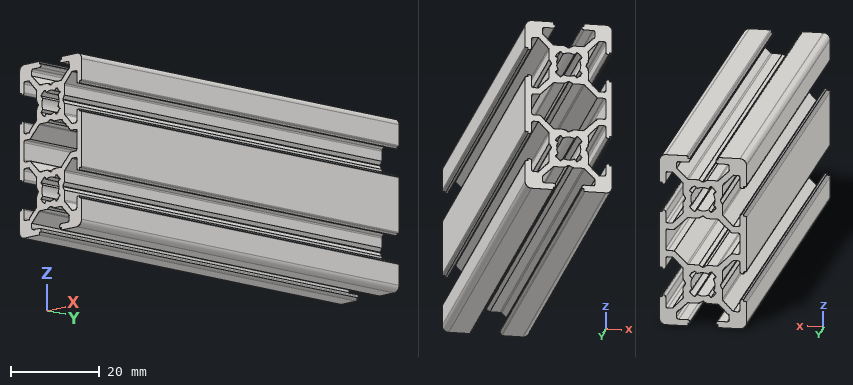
import cadquery as cq

CELL = 20.0
LENGTH = 100.0
HALF_CELL = CELL / 2
CORNER_RADIUS = 1.5

LIP_THICKNESS = 1.5
MOUTH_HALF_WIDTH = 3.0
LIP_INNER_FILLET = 0.5
STEP_HALF_WIDTH = 3.45
STEP_DEPTH = 0.65
STEP_OUTER_FILLET = 0.25
STEP_INNER_FILLET = 0.15
CAVITY_HALF_WIDTH = 6.0
CAVITY_FILLET = 0.5
CORE_HALF_WIDTH = 4.5
WEB_FOOT_FILLET = 0.5
WEB_INNER_OFFSET = 1.05
WEB_OUTER_OFFSET = 0.96
GROOVE_HALF_WIDTH = 0.94
GROOVE_DEPTH = 0.5
GROOVE_FLAT = 0.15

BORE_RADIUS = 2.75
CROSS_WIDTH = 1.6
CROSS_RADIUS = 3.55

CHAMBER_WALL = 1.5
CHAMBER_WEB = 1.5
CHAMBER_FILLET = 0.5

FOOT_HALF_WIDTH = CORE_HALF_WIDTH - WEB_INNER_OFFSET
CELL_HEIGHTS = (-CELL / 2, CELL / 2)


def mirrored(half_outline):
    """Close a right-hand outline with its mirror image about the vertical axis."""
    left_half = [(-x, z) for x, z in reversed(half_outline) if x > 0]
    return half_outline + left_half


def prism(outline):
    return cq.Workplane("XZ").polyline(outline).close().extrude(LENGTH / 2, both=True)


def rod(radius):
    return cq.Workplane("XZ").circle(radius).extrude(LENGTH / 2, both=True)


def floor_with_groove():
    """Right half of a slot floor, from the groove bottom to the foot of the diagonal web."""
    return [
        (GROOVE_FLAT / 2, CORE_HALF_WIDTH - GROOVE_DEPTH),
        (GROOVE_HALF_WIDTH, CORE_HALF_WIDTH),
        (FOOT_HALF_WIDTH, CORE_HALF_WIDTH),
    ]


def edges_at(x, z):
    """Selector for the two lengthwise edges at (x, z) and (-x, z)."""
    reach = 0.01
    right = cq.selectors.BoxSelector((x - reach, -LENGTH, z - reach), (x + reach, LENGTH, z + reach))
    left = cq.selectors.BoxSelector((-x - reach, -LENGTH, z - reach), (-x + reach, LENGTH, z + reach))
    return right + left


def rounded(body, corners):
    """Fillet the mirrored pairs of lengthwise edges listed as (x, z, radius)."""
    for x, z, radius in corners:
        body = body.edges(edges_at(x, z)).fillet(radius)
    return body


def slot():
    """T-slot open towards +Z of a cell centred on the origin."""
    lip_inside = HALF_CELL - LIP_THICKNESS
    step_floor = HALF_CELL - STEP_DEPTH
    outline = floor_with_groove() + [
        (CAVITY_HALF_WIDTH, CAVITY_HALF_WIDTH + WEB_OUTER_OFFSET),
        (CAVITY_HALF_WIDTH, lip_inside),
        (MOUTH_HALF_WIDTH, lip_inside),
        (MOUTH_HALF_WIDTH, step_floor),
        (STEP_HALF_WIDTH, step_floor),
        (STEP_HALF_WIDTH, HALF_CELL),
    ]
    body = prism(mirrored(outline))
    return rounded(
        body,
        [
            (FOOT_HALF_WIDTH, CORE_HALF_WIDTH, WEB_FOOT_FILLET),
            (CAVITY_HALF_WIDTH, lip_inside, CAVITY_FILLET),
            (MOUTH_HALF_WIDTH, lip_inside, LIP_INNER_FILLET),
            (STEP_HALF_WIDTH, step_floor, STEP_INNER_FILLET),
        ],
    )


def bore():
    cutter = rod(BORE_RADIUS)
    for angle in (45, -45):
        arm = cq.Workplane("XY").box(CELL, LENGTH, CROSS_WIDTH).intersect(rod(CROSS_RADIUS))
        cutter = cutter.union(arm.rotate((0, 0, 0), (0, 1, 0), angle))
    return cutter


def chamber():
    """Hollow between the cells; its upper and lower faces follow the slot floor shape."""
    side = HALF_CELL - CHAMBER_WALL
    shoulder = CAVITY_HALF_WIDTH + CHAMBER_WEB
    half = floor_with_groove() + [(shoulder - WEB_OUTER_OFFSET, shoulder), (side, shoulder)]
    lower = [(x, z - CELL / 2) for x, z in half]
    upper = [(x, -z) for x, z in reversed(lower)]
    corners = []
    for sign in (1, -1):
        corners.append((side, sign * (CELL / 2 - shoulder), CHAMBER_FILLET))
        corners.append((FOOT_HALF_WIDTH, sign * (CELL / 2 - CORE_HALF_WIDTH), WEB_FOOT_FILLET))
    return rounded(prism(mirrored(lower + upper)), corners)


def lip_edges():
    """Selector for the outer edges of all lip steps."""
    selector = edges_at(STEP_HALF_WIDTH, CELL) + edges_at(STEP_HALF_WIDTH, -CELL)
    for centre in CELL_HEIGHTS:
        for side in (-STEP_HALF_WIDTH, STEP_HALF_WIDTH):
            selector = selector + edges_at(HALF_CELL, centre + side)
    return selector


def extrusion():
    body = cq.Workplane("XY").box(CELL, LENGTH, 2 * CELL).edges("|Y").fillet(CORNER_RADIUS)
    slot_cutter = slot()
    bore_cutter = bore()
    for z, end_angle in zip(CELL_HEIGHTS, (180, 0)):
        for angle in (end_angle, 90, -90):
            turned = slot_cutter.rotate((0, 0, 0), (0, 1, 0), angle)
            body = body.cut(turned.translate((0, 0, z)))
        body = body.cut(bore_cutter.translate((0, 0, z)))
    body = body.cut(chamber())
    return body.edges(lip_edges()).fillet(STEP_OUTER_FILLET)


result = extrusion()